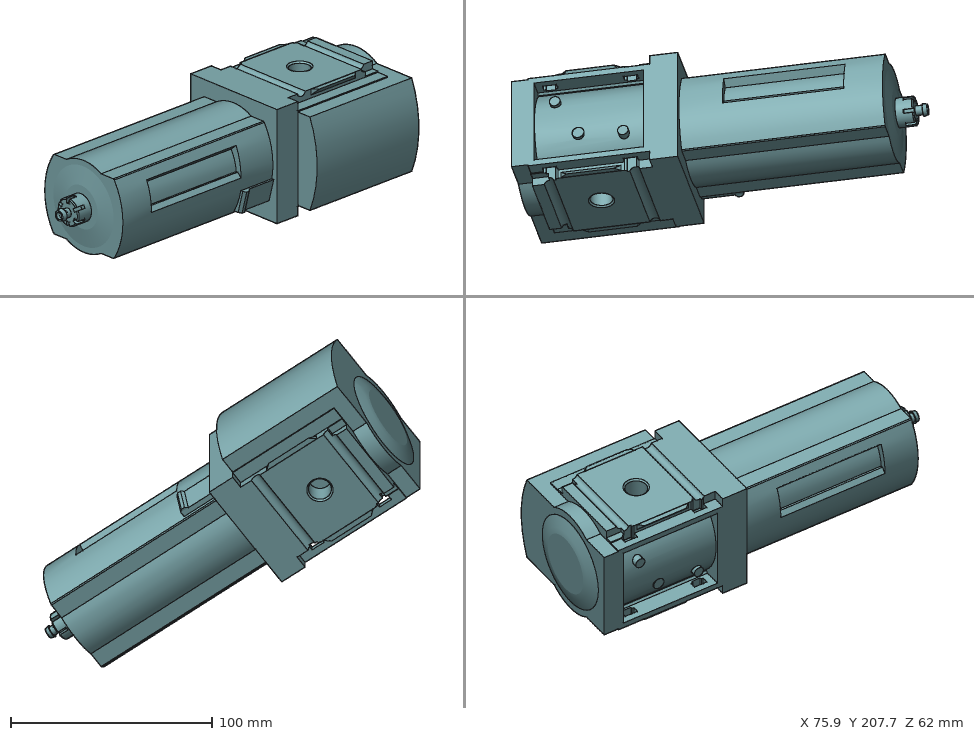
import cadquery as cq
import math


HEAD_SIDE = 62.0
HALF_SIDE = HEAD_SIDE / 2
HEAD_LENGTH = 76.3
FRAME_HALF_HEIGHT = 25.4
FRAME_BACK = 84.5
FRAME_FRONT = 14.3
GAUGE_ARC_START_X = 39.7
GAUGE_END_X = 44.9
CORE_RADIUS = 29.7
BACK_LOBE_HALF_WIDTH = 14.8
BACK_LOBE_HEIGHT = 30.0
DOME_BASE_RADIUS = 25.5
DOME_TOP_RADIUS = 16.2
DOME_MID_RADIUS = 21.2
DOME_MID_HEIGHT = 1.7
DOME_HEIGHT = 2.7

PORT_Y = 45.5
PORT_DIAMETER = 11.5
PORT_CHAMFER = 0.8
PORT_DEPTH = 12.5
PORT_BLOCK_HALF_WIDTH = 24.1
RAIL_FLOOR_Z = 26.0
GROOVE_RADIUS = 2.7
GROOVE_DEPTH = 2.0
GROOVE_OFFSET = 22.0
CORNER_NOTCH_HALF_GAP = 20.2
CORNER_NOTCH_FLOOR_Z = 26.5

TONGUE_BASE_LENGTH = 30.5
TONGUE_TIP_LENGTH = 24.3
TONGUE_REACH = 2.7
TONGUE_BOTTOM_Z = 27.6
TONGUE_TOP_Z = 30.8

WINDOW_BACK = 73.1
WINDOW_FRONT = 17.5
WINDOW_HALF_HEIGHT = 22.9
WINDOW_FLOOR_X = -20.8
WINDOW_FLOOR_CHAMFER = 1.0

OPENING_OFFSET = 20.5
OPENING_OUTER_X = -27.2
OPENING_STEP_X = -24.0
OPENING_INNER_X = -22.9
OPENING_WIDTH = 7.3
OPENING_STEM_WIDTH = 5.0

CORE_PINS = [
    (5.5, 62.8, 11.0, -30.3),
    (5.5, 28.0, -11.0, -30.3),
    (6.0, 51.1, -8.5, -29.3),
]

BOWL_LENGTH = 103.5
BOWL_HALF_WIDTH = 28.0
BOWL_FLAT_Z = 21.6
BOWL_CORNER_X = 21.6
BOWL_CORNER_CHAMFER = 0.5
BOWL_CROWN_RADIUS = 25.0
CONE_BASE_RADIUS = 21.6
CONE_TOP_RADIUS = 11.6
CONE_HEIGHT = 1.5
CONE_END = -(BOWL_LENGTH + CONE_HEIGHT)

SIDE_ARC_RISE = BOWL_HALF_WIDTH - BOWL_CORNER_X
SIDE_ARC_RADIUS = (BOWL_FLAT_Z**2 + SIDE_ARC_RISE**2) / (2 * SIDE_ARC_RISE)
SIDE_ARC_CENTRE_X = BOWL_HALF_WIDTH - SIDE_ARC_RADIUS

RECESS_BACK = -22.0
RECESS_LENGTH = 61.7
RECESS_LOW_Z = -0.5
RECESS_HIGH_Z = 16.2
RECESS_FLOOR_RADIUS = 24.7
RECESS_LEDGE_X = 25.8
RECESS_FLOOR_LOW_Z = 2.0
RECESS_FLOOR_HIGH_Z = 13.0

LATCH_LENGTH = 21.5
LATCH_TOP = (28.7, -7.7)
LATCH_BOTTOM = (25.4, -20.2)
LATCH_INNER_X = 20.8
RIDGE_HEIGHT = 1.5
RIDGE_BASE_WIDTH = 4.5
RIDGE_TIP_WIDTH = 1.9

NECK_RADIUS = 5.0
NECK_LENGTH = 0.5
DRAIN_RADIUS = 7.5
DRAIN_END = -114.5
DRAIN_CHAMFER = 0.6
DRAIN_SLOT_COUNT = 6
DRAIN_SLOT_WIDTH = 1.9
DRAIN_SLOT_LENGTH = 5.2
STEM_RADIUS = 2.5
BARB_RADIUS = 3.3
BARB_TIP_RADIUS = 2.7
BARB_START = -118.2
TIP_Y = -120.5
STEM_BORE_DIAMETER = 3.7
STEM_BORE_DEPTH = 4.2


def section(y):
    """XZ plane at the given y; extruding goes toward -Y."""
    return cq.Workplane("XZ", origin=(0, y, 0))


def box(x_range, y_range, z_range):
    """Box between pairs of coordinates."""
    size = [abs(high - low) for low, high in (x_range, y_range, z_range)]
    corner = (min(x_range), min(y_range), min(z_range))
    return cq.Workplane("XY").box(*size, centered=False).translate(corner)


def mirrored_pair(shape, plane):
    """The shape together with its mirror image."""
    return shape.union(shape.mirror(plane))


def frame():
    """Back plate with round lobes above and below, and +X side slab with a curved outer face."""
    plate = (
        section(FRAME_BACK)
        .moveTo(-HALF_SIDE, -FRAME_HALF_HEIGHT)
        .lineTo(-BACK_LOBE_HALF_WIDTH, -FRAME_HALF_HEIGHT)
        .threePointArc((0, -BACK_LOBE_HEIGHT), (BACK_LOBE_HALF_WIDTH, -FRAME_HALF_HEIGHT))
        .lineTo(HALF_SIDE, -FRAME_HALF_HEIGHT)
        .lineTo(HALF_SIDE, FRAME_HALF_HEIGHT)
        .lineTo(BACK_LOBE_HALF_WIDTH, FRAME_HALF_HEIGHT)
        .threePointArc((0, BACK_LOBE_HEIGHT), (-BACK_LOBE_HALF_WIDTH, FRAME_HALF_HEIGHT))
        .lineTo(-HALF_SIDE, FRAME_HALF_HEIGHT)
        .close()
        .extrude(FRAME_BACK - HEAD_LENGTH)
    )
    slab = (
        section(FRAME_BACK)
        .moveTo(HALF_SIDE, -FRAME_HALF_HEIGHT)
        .lineTo(GAUGE_ARC_START_X, -FRAME_HALF_HEIGHT)
        .threePointArc((GAUGE_END_X, 0), (GAUGE_ARC_START_X, FRAME_HALF_HEIGHT))
        .lineTo(HALF_SIDE, FRAME_HALF_HEIGHT)
        .close()
        .extrude(FRAME_BACK - FRAME_FRONT)
    )
    return plate.union(slab)


def dome():
    """Low dome on the back of the plate."""
    return (
        cq.Workplane("XY")
        .moveTo(0, FRAME_BACK)
        .lineTo(DOME_BASE_RADIUS, FRAME_BACK)
        .threePointArc(
            (DOME_MID_RADIUS, FRAME_BACK + DOME_MID_HEIGHT),
            (DOME_TOP_RADIUS, FRAME_BACK + DOME_HEIGHT),
        )
        .lineTo(0, FRAME_BACK + DOME_HEIGHT)
        .close()
        .revolve(360, (0, 0, 0), (0, 1, 0))
    )


def core():
    """Round core inside the housing, seen through the window."""
    return section(HEAD_LENGTH).circle(CORE_RADIUS).extrude(HEAD_LENGTH)


def side_rails():
    """Lowered strips on both sides of the upper port block."""
    rail = box(
        (PORT_BLOCK_HALF_WIDTH, HALF_SIDE), (FRAME_FRONT, HEAD_LENGTH), (RAIL_FLOOR_Z, HALF_SIDE)
    )
    return mirrored_pair(rail, "YZ")


def corner_notches():
    """Notches in the back corners of the upper port block."""
    notch = box(
        (CORNER_NOTCH_HALF_GAP, PORT_BLOCK_HALF_WIDTH),
        (PORT_Y + GROOVE_OFFSET, HEAD_LENGTH),
        (CORNER_NOTCH_FLOOR_Z, HALF_SIDE),
    )
    return mirrored_pair(notch, "YZ")


def grooves():
    """Round-bottomed grooves along X in the upper port face."""
    centre_z = HALF_SIDE - GROOVE_DEPTH + GROOVE_RADIUS
    return (
        cq.Workplane("YZ", origin=(-PORT_BLOCK_HALF_WIDTH, 0, 0))
        .pushPoints([(PORT_Y + side * GROOVE_OFFSET, centre_z) for side in (-1, 1)])
        .circle(GROOVE_RADIUS)
        .extrude(2 * PORT_BLOCK_HALF_WIDTH)
    )


def port():
    """Blind port with a chamfered mouth in the upper port face."""
    face = cq.Workplane("XY", origin=(0, PORT_Y, HALF_SIDE))
    bore = face.circle(PORT_DIAMETER / 2).extrude(-PORT_DEPTH)
    mouth_radius = PORT_DIAMETER / 2 + PORT_CHAMFER
    mouth = face.circle(mouth_radius).extrude(-PORT_CHAMFER, taper=45)
    return bore.union(mouth)


def tongues():
    """Tapered tongues along the upper port block, undercut below."""
    tip_x = PORT_BLOCK_HALF_WIDTH + TONGUE_REACH
    plan = (
        cq.Workplane("XY", origin=(0, PORT_Y, TONGUE_BOTTOM_Z))
        .moveTo(PORT_BLOCK_HALF_WIDTH, -TONGUE_BASE_LENGTH / 2)
        .lineTo(tip_x, -TONGUE_TIP_LENGTH / 2)
        .lineTo(tip_x, TONGUE_TIP_LENGTH / 2)
        .lineTo(PORT_BLOCK_HALF_WIDTH, TONGUE_BASE_LENGTH / 2)
        .close()
        .extrude(TONGUE_TOP_Z - TONGUE_BOTTOM_Z)
    )
    wedge = (
        section(PORT_Y + TONGUE_BASE_LENGTH / 2)
        .moveTo(PORT_BLOCK_HALF_WIDTH, TONGUE_BOTTOM_Z)
        .lineTo(tip_x, TONGUE_TOP_Z)
        .lineTo(PORT_BLOCK_HALF_WIDTH, TONGUE_TOP_Z)
        .close()
        .extrude(TONGUE_BASE_LENGTH)
    )
    return mirrored_pair(plan.intersect(wedge), "YZ")


def window():
    """Window in the -X side, open as far as the core."""
    floor_half_height = WINDOW_HALF_HEIGHT - WINDOW_FLOOR_CHAMFER
    chamfer_x = WINDOW_FLOOR_X - WINDOW_FLOOR_CHAMFER
    pocket = (
        section(WINDOW_BACK)
        .moveTo(-HALF_SIDE, -WINDOW_HALF_HEIGHT)
        .lineTo(chamfer_x, -WINDOW_HALF_HEIGHT)
        .lineTo(WINDOW_FLOOR_X, -floor_half_height)
        .lineTo(WINDOW_FLOOR_X, floor_half_height)
        .lineTo(chamfer_x, WINDOW_HALF_HEIGHT)
        .lineTo(-HALF_SIDE, WINDOW_HALF_HEIGHT)
        .close()
        .extrude(WINDOW_BACK - WINDOW_FRONT)
    )
    return pocket.cut(core())


def openings():
    """T-shaped openings from the upper port face down into the window."""
    cuts = cq.Workplane("XY")
    z_range = (WINDOW_HALF_HEIGHT, HALF_SIDE)
    for y in (PORT_Y - OPENING_OFFSET, PORT_Y + OPENING_OFFSET):
        head_y = (y - OPENING_WIDTH / 2, y + OPENING_WIDTH / 2)
        stem_y = (y - OPENING_STEM_WIDTH / 2, y + OPENING_STEM_WIDTH / 2)
        cuts = cuts.union(box((OPENING_OUTER_X, OPENING_STEP_X), head_y, z_range))
        cuts = cuts.union(box((OPENING_STEP_X, OPENING_INNER_X), stem_y, z_range))
    return cuts.cut(core())


def core_pins():
    """Pins that stand out from the core toward -X."""
    pins = cq.Workplane("XY")
    for diameter, y, z, tip_x in CORE_PINS:
        pin = cq.Workplane("YZ", origin=(tip_x, y, z)).circle(diameter / 2).extrude(-tip_x)
        pins = pins.union(pin)
    return pins


def make_head():
    body = box((-HALF_SIDE, HALF_SIDE), (0, HEAD_LENGTH), (-HALF_SIDE, HALF_SIDE))
    for cut in (side_rails(), corner_notches()):
        body = body.cut(mirrored_pair(cut, "XY"))
    body = body.union(frame()).union(dome())
    body = body.union(mirrored_pair(tongues(), "XY"))
    for cut in (grooves(), port(), openings()):
        body = body.cut(mirrored_pair(cut, "XY"))
    body = body.cut(window())
    return body.union(core_pins())


def side_point(z):
    """Point at height z on the +X side arc of the bowl."""
    return (SIDE_ARC_CENTRE_X + math.sqrt(SIDE_ARC_RADIUS**2 - z**2), z)


def bowl_shell():
    """Bowl outline: curved sides, chamfered corners, flats and a round crown above and below."""
    crown_x = math.sqrt(BOWL_CROWN_RADIUS**2 - BOWL_FLAT_Z**2)
    side_x, side_z = side_point(BOWL_FLAT_Z - BOWL_CORNER_CHAMFER)
    flat_x = BOWL_CORNER_X - BOWL_CORNER_CHAMFER
    return (
        section(0)
        .moveTo(side_x, -side_z)
        .threePointArc((BOWL_HALF_WIDTH, 0), (side_x, side_z))
        .lineTo(flat_x, BOWL_FLAT_Z)
        .lineTo(crown_x, BOWL_FLAT_Z)
        .threePointArc((0, BOWL_CROWN_RADIUS), (-crown_x, BOWL_FLAT_Z))
        .lineTo(-flat_x, BOWL_FLAT_Z)
        .lineTo(-side_x, side_z)
        .threePointArc((-BOWL_HALF_WIDTH, 0), (-side_x, -side_z))
        .lineTo(-flat_x, -BOWL_FLAT_Z)
        .lineTo(-crown_x, -BOWL_FLAT_Z)
        .threePointArc((0, -BOWL_CROWN_RADIUS), (crown_x, -BOWL_FLAT_Z))
        .lineTo(flat_x, -BOWL_FLAT_Z)
        .close()
        .extrude(BOWL_LENGTH)
    )


def floor_point(z):
    """Point at height z on the floor of the +X sight recess."""
    return (math.sqrt(RECESS_FLOOR_RADIUS**2 - z**2), z)


def sight_recesses():
    """Long recesses with a curved floor, one in each side of the bowl."""
    middle_z = (RECESS_LOW_Z + RECESS_HIGH_Z) / 2
    recess = (
        section(RECESS_BACK)
        .moveTo(*side_point(RECESS_LOW_Z))
        .threePointArc(side_point(middle_z), side_point(RECESS_HIGH_Z))
        .lineTo(*floor_point(RECESS_FLOOR_HIGH_Z))
        .threePointArc(floor_point(middle_z), floor_point(RECESS_FLOOR_LOW_Z))
        .lineTo(RECESS_LEDGE_X, RECESS_FLOOR_LOW_Z)
        .close()
        .extrude(RECESS_LENGTH)
    )
    return mirrored_pair(recess, "YZ")


def latch():
    """Slanted latch plate on the +X side, with a ridge across its front end."""
    plate = (
        section(0)
        .moveTo(*LATCH_TOP)
        .lineTo(*LATCH_BOTTOM)
        .lineTo(LATCH_INNER_X, LATCH_BOTTOM[1])
        .lineTo(LATCH_INNER_X, LATCH_TOP[1])
        .close()
        .extrude(LATCH_LENGTH)
    )
    along = cq.Vector(LATCH_TOP[0] - LATCH_BOTTOM[0], 0, LATCH_TOP[1] - LATCH_BOTTOM[1])
    outward = cq.Vector(along.z, 0, -along.x)
    ridge_plane = cq.Plane(
        origin=(LATCH_BOTTOM[0], -LATCH_LENGTH, LATCH_BOTTOM[1]), xDir=outward, normal=along
    )
    ridge_slope = (RIDGE_BASE_WIDTH - RIDGE_TIP_WIDTH) / 2
    ridge = (
        cq.Workplane(ridge_plane)
        .lineTo(RIDGE_HEIGHT, ridge_slope)
        .lineTo(RIDGE_HEIGHT, ridge_slope + RIDGE_TIP_WIDTH)
        .lineTo(0, RIDGE_BASE_WIDTH)
        .close()
        .extrude(along.Length)
    )
    return plate.union(ridge)


def end_cone():
    """Flat cone that closes the front end of the bowl."""
    return (
        cq.Workplane("XY")
        .moveTo(0, -BOWL_LENGTH)
        .lineTo(CONE_BASE_RADIUS, -BOWL_LENGTH)
        .lineTo(CONE_TOP_RADIUS, CONE_END)
        .lineTo(0, CONE_END)
        .close()
        .revolve(360, (0, 0, 0), (0, 1, 0))
    )


def make_bowl():
    body = bowl_shell().cut(sight_recesses())
    return body.union(latch()).union(end_cone())


def make_housing():
    """Head and bowl as one body."""
    return make_head().union(make_bowl())


def drain_profile():
    """Neck, collar and barbed stem, turned about the bowl axis."""
    collar_start = CONE_END - NECK_LENGTH
    return (
        cq.Workplane("XY")
        .moveTo(0, CONE_END)
        .lineTo(NECK_RADIUS, CONE_END)
        .lineTo(NECK_RADIUS, collar_start)
        .lineTo(DRAIN_RADIUS, collar_start)
        .lineTo(DRAIN_RADIUS, DRAIN_END + DRAIN_CHAMFER)
        .lineTo(DRAIN_RADIUS - DRAIN_CHAMFER, DRAIN_END)
        .lineTo(STEM_RADIUS, DRAIN_END)
        .lineTo(STEM_RADIUS, BARB_START)
        .lineTo(BARB_RADIUS, BARB_START)
        .lineTo(BARB_TIP_RADIUS, TIP_Y)
        .lineTo(0, TIP_Y)
        .close()
        .revolve(360, (0, 0, 0), (0, 1, 0))
    )


def drain_slots():
    """Radial slots in the rim of the drain collar, around a core as thick as the neck."""
    start = DRAIN_END + DRAIN_SLOT_LENGTH
    slots = (
        section(start)
        .polarArray(DRAIN_RADIUS, 90, 360, DRAIN_SLOT_COUNT)
        .rect(DRAIN_RADIUS, DRAIN_SLOT_WIDTH)
        .extrude(DRAIN_SLOT_LENGTH)
    )
    floor = section(start).circle(NECK_RADIUS).extrude(DRAIN_SLOT_LENGTH)
    return slots.cut(floor)


def stem_bore():
    """Blind bore in the tip of the stem."""
    return section(TIP_Y + STEM_BORE_DEPTH).circle(STEM_BORE_DIAMETER / 2).extrude(STEM_BORE_DEPTH)


def make_drain_valve():
    return drain_profile().cut(drain_slots()).cut(stem_bore())


housing = make_housing()
drain_valve = make_drain_valve()
result = cq.Compound.makeCompound([housing.solids().val(), drain_valve.solids().val()])